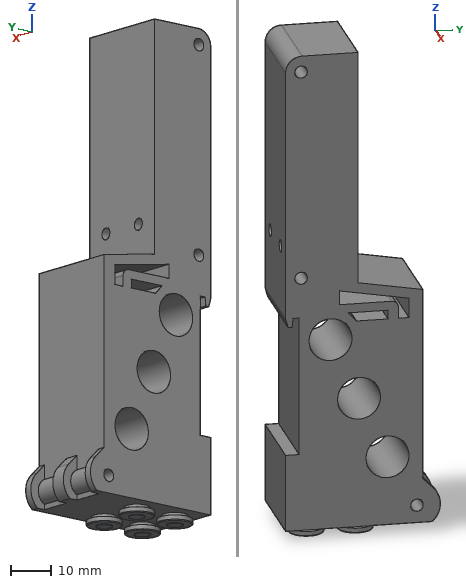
import cadquery as cq
import math

width = 25.0
height = 127.5
half_width = width / 2
base_z = 2.5

tower_depth = 18.5
body_depth = 35.1
shoulder_z = 63.9
shoulder_angle = 10.0
top_radius = 4.2

recess_depth = 3.5
recess_bottom_z = 22.6
recess_top_z = 58.5
lip_inner_y = 1.9
lip_tip_z = 56.2
lip_top_z = 58.5
lip_tip_inner_y = 1.7
lip_tip_front_y = 0.6

hinge_y = 33.5
hinge_z = 7.1
knuckle_radius = 6.0
hinge_core_radius = 3.6
end_knuckle_width = 2.0
middle_knuckle_width = 4.1

pin_hole_diameter = 3.2
tower_pin_y = 4.0
lower_tower_pin_z = 69.0
port_diameter = 11.0
port_count = 3
first_port_y = 26.0
first_port_z = 20.4
port_step_y = -7.3
port_step_z = 16.0

pair_spacing = 12.5
screw_hole_diameter = 3.0
screw_hole_z = 75.8

slot_floor_z = 56.8
bent_slot_rear_y = 31.5
bent_slot_front_y = 13.8
bent_slot_roof_rear_z = 61.9
bent_slot_leg = 2.7
bent_slot_step_z = 61.3
bent_slot_radius = 1.8
short_slot_rear_y = 26.1
short_slot_front_y = 18.1
short_slot_top_front_y = 16.1
short_slot_top_z = 59.0

first_fitting_y = 6.5
neck_diameter = 6.5
flange_diameter = 9.0
flange_top_z = 1.5
flange_bottom_z = 0.19
flange_bevel = 0.3
tip_diameter = 4.2


def side_plane(x, y=0, z=0):
    """Sketch plane for side outlines, extruding toward +X."""
    return cq.Workplane("YZ", origin=(x, y, z))


def cross_cylinder(y, z, diameter):
    """Cylinder along X over the full width."""
    return side_plane(-half_width, y, z).circle(diameter / 2).extrude(width)


def rise(run):
    """Height gained by the sloped shoulder over a horizontal run."""
    return run * math.tan(math.radians(shoulder_angle))


def make_body():
    outline = [
        (0, base_z),
        (0, recess_bottom_z),
        (recess_depth, recess_bottom_z),
        (recess_depth, recess_top_z),
        (lip_inner_y, recess_top_z),
        (lip_tip_inner_y, lip_tip_z),
        (lip_tip_front_y, lip_tip_z),
        (0, lip_top_z),
        (0, height),
        (tower_depth, height),
        (tower_depth, shoulder_z + rise(body_depth - tower_depth)),
        (body_depth, shoulder_z),
        (body_depth, base_z),
    ]
    body = side_plane(-half_width).polyline(outline).close().extrude(width)
    return body.edges("|X and <Y and >Z").fillet(top_radius)


def make_knuckle(x_start, length):
    """Round lug, cut flat at the base and blended into the rear face by a 45 degree slope."""
    diagonal = knuckle_radius * math.sqrt(0.5)
    tangent_y = hinge_y + diagonal
    tangent_z = hinge_z + diagonal
    base_y = hinge_y + math.sqrt(knuckle_radius**2 - (hinge_z - base_z) ** 2)
    return (
        side_plane(x_start)
        .moveTo(hinge_y, base_z)
        .lineTo(base_y, base_z)
        .threePointArc((hinge_y + knuckle_radius, hinge_z), (tangent_y, tangent_z))
        .lineTo(body_depth, tangent_z + tangent_y - body_depth)
        .lineTo(hinge_y, tangent_z + tangent_y - body_depth)
        .close()
        .extrude(length)
    )


def make_hinge():
    hinge = cross_cylinder(hinge_y, hinge_z, 2 * hinge_core_radius)
    hinge = hinge.union(make_knuckle(-half_width, end_knuckle_width))
    hinge = hinge.union(make_knuckle(-middle_knuckle_width / 2, middle_knuckle_width))
    return hinge.union(make_knuckle(half_width - end_knuckle_width, end_knuckle_width))


def make_bent_slot():
    leg_front_y = bent_slot_rear_y - bent_slot_leg
    corner = bent_slot_radius * (1 - math.sqrt(0.5))
    return (
        side_plane(-half_width)
        .moveTo(bent_slot_rear_y, slot_floor_z)
        .lineTo(bent_slot_rear_y, bent_slot_roof_rear_z)
        .lineTo(bent_slot_front_y, bent_slot_roof_rear_z + rise(bent_slot_rear_y - bent_slot_front_y))
        .lineTo(bent_slot_front_y, bent_slot_step_z)
        .lineTo(leg_front_y - bent_slot_radius, bent_slot_step_z)
        .threePointArc(
            (leg_front_y - corner, bent_slot_step_z - corner),
            (leg_front_y, bent_slot_step_z - bent_slot_radius),
        )
        .lineTo(leg_front_y, slot_floor_z)
        .close()
        .extrude(width)
    )


def make_short_slot():
    outline = [
        (short_slot_rear_y, slot_floor_z),
        (short_slot_rear_y, short_slot_top_z),
        (short_slot_top_front_y, short_slot_top_z),
        (short_slot_front_y, slot_floor_z),
    ]
    return side_plane(-half_width).polyline(outline).close().extrude(width)


def make_fitting(x, y):
    """Turned fitting hanging below the base: neck, bevelled flange and short tip."""
    profile = [
        (0, 0),
        (tip_diameter / 2, 0),
        (tip_diameter / 2, flange_bottom_z),
        (flange_diameter / 2 - flange_bevel, flange_bottom_z),
        (flange_diameter / 2, flange_bottom_z + flange_bevel),
        (flange_diameter / 2, flange_top_z),
        (neck_diameter / 2, flange_top_z),
        (neck_diameter / 2, base_z),
        (0, base_z),
    ]
    fitting = cq.Workplane("XZ").polyline(profile).close().revolve(360, (0, 0, 0), (0, 1, 0))
    return fitting.translate((x, y, 0))


result = make_body().union(make_hinge())

top_pin_z = height - top_radius
for y, z in ((hinge_y, hinge_z), (tower_pin_y, lower_tower_pin_z), (tower_pin_y, top_pin_z)):
    result = result.cut(cross_cylinder(y, z, pin_hole_diameter))

for i in range(port_count):
    port_y = first_port_y + i * port_step_y
    port_z = first_port_z + i * port_step_z
    result = result.cut(cross_cylinder(port_y, port_z, port_diameter))

result = result.cut(make_bent_slot()).cut(make_short_slot())

for x in (-pair_spacing / 2, pair_spacing / 2):
    screw_hole = cq.Workplane("XZ", origin=(x, 0, screw_hole_z)).circle(screw_hole_diameter / 2)
    result = result.cut(screw_hole.extrude(-tower_depth))
    for y in (first_fitting_y, first_fitting_y + pair_spacing):
        result = result.union(make_fitting(x, y))